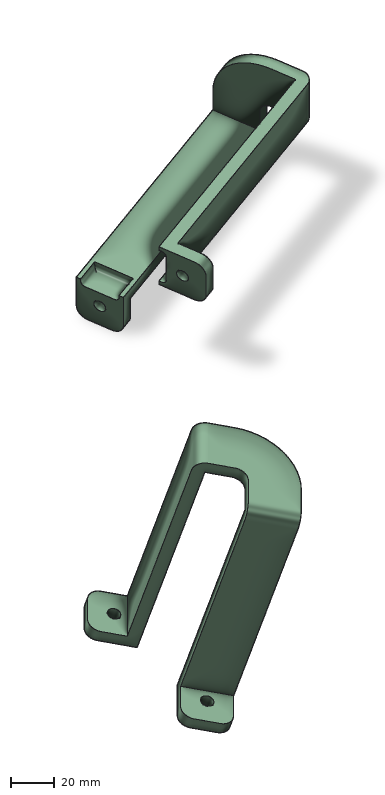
import cadquery as cq

length = 130.2
span = 69.9
width = 25.4
thickness = 6.4
corner_radius = 6.4
hole_diameter = 6.4
pocket_length = 12.8
pocket_width = 20.7
pocket_depth = 3.9
pocket_fillet = 2.6

half_width = width / 2
foot_length = width
foot_end = span - half_width
arm_inner = foot_end - foot_length
arm_outer = arm_inner + thickness
elbow_radius = width + corner_radius
hole_offset = foot_end - foot_length / 2


def box(x_range, y_range, z_size):
    """Box between the given X and Y limits, centred on Z = 0."""
    x_size = x_range[1] - x_range[0]
    y_size = y_range[1] - y_range[0]
    return (
        cq.Workplane("XY")
        .box(x_size, y_size, z_size, centered=(False, False, True))
        .translate((x_range[0], y_range[0], 0))
    )


def make_pocket():
    """Pocket cutter with rounded floor edges, open at the foot face and the inner arm face."""
    pocket = box(
        (arm_inner, arm_inner + pocket_depth),
        (-pocket_length, pocket_length),
        pocket_width,
    )
    return pocket.faces(">X").edges().fillet(pocket_fillet)


def make_leg():
    """Leg running along +X: end of the bridge, long arm, and foot with hole and pocket."""
    bridge = box((0, arm_outer), (length - thickness, length), width)
    arm = box((arm_inner, arm_outer), (0, length), width)
    outer_bend = cq.selectors.NearestToPointSelector((arm_outer, length, 0))
    strip = bridge.union(arm).edges("|Z").edges(outer_bend).fillet(corner_radius)

    foot = box((arm_inner, foot_end), (0, thickness), width)
    foot = foot.faces(">X").edges("|Y").fillet(corner_radius)
    hole = (
        cq.Workplane("XZ")
        .center(hole_offset, 0)
        .circle(hole_diameter / 2)
        .extrude(-thickness)
    )
    return strip.union(foot).cut(hole).cut(make_pocket())


def make_elbow():
    """Elbow joining the two bridge ends, with concentric outer and inner arcs."""
    near = -half_width
    bend_centre = near + elbow_radius
    diagonal = 0.5 ** 0.5

    def arc_middle(radius):
        return bend_centre - radius * diagonal, -bend_centre + radius * diagonal

    return (
        cq.Workplane("XZ", origin=(0, length, 0))
        .moveTo(near, -bend_centre)
        .threePointArc(arc_middle(elbow_radius), (bend_centre, half_width))
        .lineTo(bend_centre, -half_width)
        .threePointArc(arc_middle(corner_radius), (half_width, -bend_centre))
        .close()
        .extrude(thickness)
    )


def trim_to_elbow(leg):
    """Remove the part of a leg along +X that lies before the end of the elbow."""
    elbow_end = elbow_radius - half_width
    return leg.cut(box((0, elbow_end), (0, length), width))


leg_x = trim_to_elbow(make_leg())
leg_z = leg_x.rotate((0, 0, 0), (0, 1, 0), 90)
result = make_elbow().union(leg_x).union(leg_z)